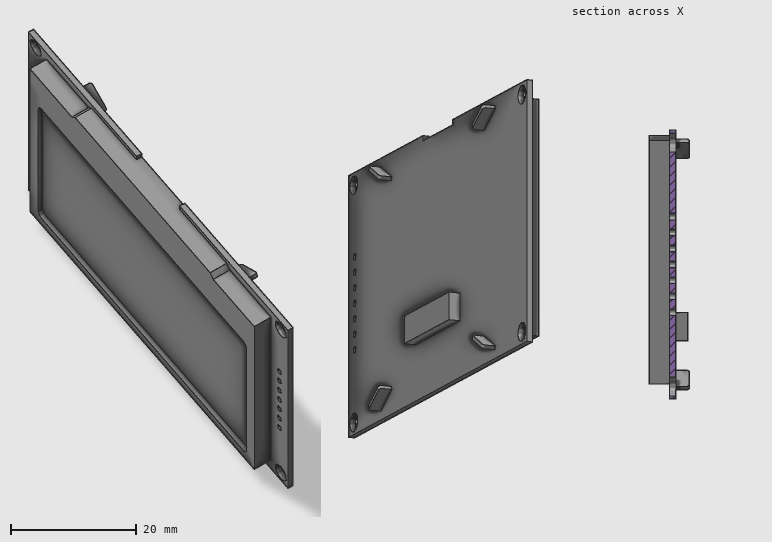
import cadquery as cq


board_width = 72.0
board_height = 43.0
board_thickness = 1.0
mount_hole_diameter = 3.0
mount_hole_inset = 2.0
notch_width = 11.95

solder_hole_diameter = 1.0
solder_hole_count = 7
solder_row_span = 15.3
solder_row_inset = 2.4

display_left = 5.05
display_bottom = 2.4
display_width = 62.2
display_depth = 3.25
shoulder_height = 38.9
raised_left = 17.6
raised_right = 55.0
raise_height = 0.9

window_left = 7.35
window_bottom = 4.1
window_width = 57.75
window_height = 29.7
window_depth = 0.9
window_corner_radius = 1.0

connector_width = 18.0
connector_height = 4.5
connector_depth = 1.95
connector_bottom = 9.3

tab_length = 5.2
tab_thickness = 0.65
tab_depth = 2.15
tab_corner_radius = 0.5
tab_twist = 30.0
tab_spacing_x = 41.9
tab_spacing_z = 36.9

mid_x = board_width / 2
mid_z = board_height / 2
shoulder_z = display_bottom + shoulder_height
display_top = shoulder_z + raise_height


def block(left, front, bottom, width, depth, height):
    """Box placed by its left, front and bottom sides."""
    return cq.Workplane("XY").box(width, depth, height, centered=False).translate((left, front, bottom))


def board_holes(points, diameter):
    """Cylinders that pass through the full board thickness at the given (x, z) points."""
    return (
        cq.Workplane("XZ")
        .pushPoints(points)
        .circle(diameter / 2)
        .extrude(-board_thickness)
    )


def make_board():
    board = block(0, 0, 0, board_width, board_thickness, board_height)

    notch_depth = board_height - display_top
    board = board.cut(
        block(mid_x - notch_width / 2, 0, display_top, notch_width, board_thickness, notch_depth)
    )

    mount_points = [
        (x, z)
        for x in (mount_hole_inset, board_width - mount_hole_inset)
        for z in (mount_hole_inset, board_height - mount_hole_inset)
    ]
    board = board.cut(board_holes(mount_points, mount_hole_diameter))

    solder_pitch = solder_row_span / (solder_hole_count - 1)
    solder_points = [
        (board_width - solder_row_inset, mid_z - solder_row_span / 2 + i * solder_pitch)
        for i in range(solder_hole_count)
    ]
    return board.cut(board_holes(solder_points, solder_hole_diameter))


def make_display():
    display_right = display_left + display_width
    display = (
        cq.Workplane("XZ")
        .moveTo(display_left, display_bottom)
        .lineTo(display_right, display_bottom)
        .lineTo(display_right, shoulder_z)
        .lineTo(raised_right + raise_height, shoulder_z)
        .lineTo(raised_right, display_top)
        .lineTo(raised_left, display_top)
        .lineTo(raised_left - raise_height, shoulder_z)
        .lineTo(display_left, shoulder_z)
        .close()
        .extrude(display_depth)
    )
    window = block(
        window_left, -display_depth, window_bottom, window_width, window_depth, window_height
    ).edges("|Y").fillet(window_corner_radius)
    return display.cut(window)


def make_module():
    """Board, display block and connector as one body."""
    connector = block(
        mid_x - connector_width / 2,
        board_thickness,
        connector_bottom,
        connector_width,
        connector_depth,
        connector_height,
    )
    return make_board().union(make_display()).union(connector).clean()


def make_tab(side_x, side_z):
    """Upright plate in one corner; side_x and side_z are -1 or 1 and pick the corner."""
    tab = (
        cq.Workplane("XY")
        .box(tab_length, tab_depth, tab_thickness, centered=(True, False, True))
        .edges("|Z and >Y")
        .fillet(tab_corner_radius)
    )
    tab = tab.rotate((0, 0, 0), (0, 1, 0), -side_x * side_z * tab_twist)
    return tab.translate(
        (mid_x + side_x * tab_spacing_x / 2, board_thickness, mid_z + side_z * tab_spacing_z / 2)
    )


module = make_module()
tabs = [make_tab(side_x, side_z) for side_x in (-1, 1) for side_z in (-1, 1)]

result = cq.Compound.makeCompound([module.val(), *[tab.val() for tab in tabs]])